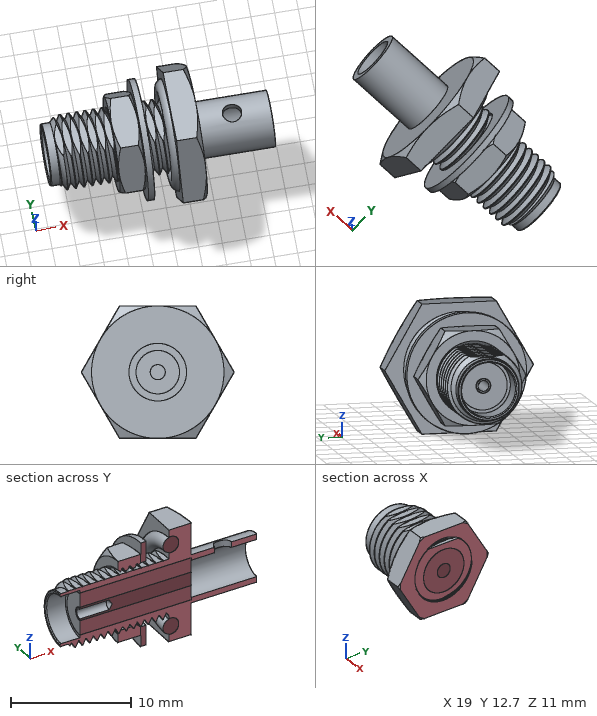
import cadquery as cq
import math

LENGTH = 19.0
HEX_CHAMFER_ANGLE = 30.0

NOSE_LENGTH = 0.78
NOSE_RADIUS = 2.62
NOSE_CHAMFER = 0.08
THREAD_RADIUS = 3.14
SHAFT_FLAT_HEIGHT = 2.66
FLANGE_FRONT = 10.5
FLANGE_BACK = 12.7
FLANGE_ACROSS_FLATS = 11.0
BARREL_RADIUS = 2.4
BARREL_BORE_RADIUS = 1.8
CROSS_HOLE_X = 15.75
CROSS_HOLE_RADIUS = 0.8

THREAD_PITCH = 4.94 / 7
THREAD_CREST_WIDTH = 0.085
THREAD_FLANK_ANGLE = 30.0
THREAD_CREST_X = 1.85
STOCK_ALLOWANCE = 3.8
THREAD_OVERCUT = 0.04

SOCKET_RADIUS = 2.3
SOCKET_CHAMFER = 0.1
SOCKET_DEPTH = 1.9

DIELECTRIC_RADIUS = 2.03
CONTACT_RADIUS = 0.63
CONTACT_CHAMFER = 0.04
CONTACT_BORE_RADIUS = 0.45
CONTACT_BORE_DEPTH = 2.85
DRILL_TIP_ANGLE = 118.0

NUT_FRONT = 5.59
NUT_BACK = 7.79
NUT_ACROSS_FLATS = 8.0
NUT_BORE_RADIUS = 2.83
WASHER_BACK = 8.32
WASHER_RADIUS = 5.11

SEAL_CENTER_RADIUS = 4.0
SEAL_SECTION_RADIUS = 0.76
SEAL_HEIGHT = 0.57


def cylinder(radius, start, end):
    """Solid cylinder about the X axis."""
    return cq.Workplane("YZ").workplane(offset=start).circle(radius).extrude(end - start)


def turned(points):
    """Solid of revolution about X from (x, radius) points."""
    return cq.Workplane("XY").polyline(points).close().revolve(360, (0, 0), (1, 0))


def hexagon(across_flats, start, end, chamfer_front):
    """Hexagonal block with corners on +Y and -Y, turned down at the back and optionally at the front."""
    flat_radius = across_flats / 2
    corner_radius = flat_radius / math.cos(math.pi / 6)
    chamfer = (corner_radius - flat_radius) * math.tan(math.radians(HEX_CHAMFER_ANGLE))
    points = [(start, 0), (end, 0), (end, flat_radius), (end - chamfer, corner_radius)]
    if chamfer_front:
        points += [(start + chamfer, corner_radius), (start, flat_radius)]
    else:
        points += [(start, corner_radius)]
    block = cq.Workplane("YZ").workplane(offset=start).polygon(6, 2 * corner_radius).extrude(end - start)
    return block.intersect(turned(points))


def thread_groove(start, end):
    """Helical V-shaped cutter, right-handed about X, that covers start to end."""
    slope = math.tan(math.radians(THREAD_FLANK_ANGLE))
    half_mouth = (THREAD_PITCH - THREAD_CREST_WIDTH) / 2
    root_radius = THREAD_RADIUS - half_mouth / slope
    outer_radius = THREAD_RADIUS + THREAD_OVERCUT
    half_outer = half_mouth + THREAD_OVERCUT * slope
    first = THREAD_CREST_X + THREAD_PITCH / 2
    first -= math.ceil((first - start) / THREAD_PITCH + 1) * THREAD_PITCH
    height = math.ceil((end - first) / THREAD_PITCH + 1) * THREAD_PITCH
    path = cq.Wire.makeHelix(THREAD_PITCH, height, root_radius)
    section = [(root_radius, 0), (outer_radius, half_outer), (outer_radius, -half_outer)]
    groove = cq.Workplane("XZ").polyline(section).close().sweep(cq.Workplane(path), isFrenet=True)
    groove = groove.rotate((0, 0, 0), (0, 1, 0), 90)
    groove = groove.rotate((0, 0, 0), (1, 0, 0), 180)
    return groove.translate((first, 0, 0))


def threaded_stock():
    """Threaded bar that is plain at both ends and longer than the threaded shaft."""
    stock = cylinder(THREAD_RADIUS, NOSE_LENGTH - STOCK_ALLOWANCE, FLANGE_FRONT + STOCK_ALLOWANCE)
    return stock.cut(thread_groove(NOSE_LENGTH, FLANGE_FRONT))


def make_shaft(stock):
    """Stock cut to length, its first turn turned down at 45 degrees and its top milled flat."""
    chamfer = THREAD_RADIUS - NOSE_RADIUS
    outline = turned([
        (NOSE_LENGTH, 0),
        (NOSE_LENGTH, NOSE_RADIUS),
        (NOSE_LENGTH + chamfer + STOCK_ALLOWANCE, THREAD_RADIUS + STOCK_ALLOWANCE),
        (FLANGE_FRONT, THREAD_RADIUS + STOCK_ALLOWANCE),
        (FLANGE_FRONT, 0),
    ])
    flat_cutter = cq.Workplane("XY").workplane(offset=SHAFT_FLAT_HEIGHT).rect(
        2 * LENGTH, 2 * THREAD_RADIUS
    ).extrude(THREAD_RADIUS)
    return stock.intersect(outline).cut(flat_cutter)


def make_seal():
    """Ring of round section that stands out of the flange by the seal height."""
    center_x = FLANGE_FRONT - SEAL_HEIGHT + SEAL_SECTION_RADIUS
    section = cq.Workplane("XY").center(center_x, SEAL_CENTER_RADIUS).circle(SEAL_SECTION_RADIUS)
    return section.revolve(360, (-center_x, -SEAL_CENTER_RADIUS), (0.19 - center_x, -SEAL_CENTER_RADIUS))


def make_shell(stock, seal):
    """Nose, threaded shaft, flange and barrel in one piece, hollow, with a seat for the seal."""
    nose = cylinder(NOSE_RADIUS, 0, NOSE_LENGTH).faces("<X").chamfer(NOSE_CHAMFER)
    flange = hexagon(FLANGE_ACROSS_FLATS, FLANGE_FRONT, FLANGE_BACK, chamfer_front=False)
    barrel = cylinder(BARREL_RADIUS, FLANGE_BACK, LENGTH)
    shell = make_shaft(stock).union(nose).union(flange).union(barrel)
    shell = shell.cut(turned([
        (0, 0),
        (0, SOCKET_RADIUS + SOCKET_CHAMFER),
        (SOCKET_CHAMFER, SOCKET_RADIUS),
        (SOCKET_DEPTH, SOCKET_RADIUS),
        (SOCKET_DEPTH, DIELECTRIC_RADIUS),
        (FLANGE_BACK, DIELECTRIC_RADIUS),
        (FLANGE_BACK, BARREL_BORE_RADIUS),
        (LENGTH, BARREL_BORE_RADIUS),
        (LENGTH, 0),
    ]))
    cross_hole = cq.Workplane("XY").center(CROSS_HOLE_X, 0).circle(CROSS_HOLE_RADIUS).extrude(BARREL_RADIUS)
    return shell.cut(cross_hole).cut(seal)


def make_dielectric():
    """Insulating sleeve between the contact and the shell."""
    return cylinder(DIELECTRIC_RADIUS, SOCKET_DEPTH, FLANGE_BACK).cut(
        cylinder(CONTACT_RADIUS, SOCKET_DEPTH, FLANGE_BACK)
    )


def make_contact():
    """Pin flush with the socket floor, with a drilled blind bore and a chamfered front edge."""
    bore_end = SOCKET_DEPTH + CONTACT_BORE_DEPTH
    tip_length = CONTACT_BORE_RADIUS / math.tan(math.radians(DRILL_TIP_ANGLE / 2))
    return turned([
        (SOCKET_DEPTH, CONTACT_BORE_RADIUS),
        (SOCKET_DEPTH, CONTACT_RADIUS - CONTACT_CHAMFER),
        (SOCKET_DEPTH + CONTACT_CHAMFER, CONTACT_RADIUS),
        (FLANGE_BACK, CONTACT_RADIUS),
        (FLANGE_BACK, 0),
        (bore_end + tip_length, 0),
        (bore_end, CONTACT_BORE_RADIUS),
    ])


def make_nut(stock):
    """Hexagon nut whose internal thread matches the shaft, with countersunk ends."""
    countersink = THREAD_RADIUS - NUT_BORE_RADIUS
    bore = turned([
        (NUT_FRONT, 0),
        (NUT_FRONT, THREAD_RADIUS),
        (NUT_FRONT + countersink, NUT_BORE_RADIUS),
        (NUT_BACK - countersink, NUT_BORE_RADIUS),
        (NUT_BACK, THREAD_RADIUS),
        (NUT_BACK, 0),
    ])
    return hexagon(NUT_ACROSS_FLATS, NUT_FRONT, NUT_BACK, chamfer_front=True).cut(stock).cut(bore)


def make_washer():
    """Flat ring behind the nut."""
    return cylinder(WASHER_RADIUS, NUT_BACK, WASHER_BACK).cut(cylinder(THREAD_RADIUS, NUT_BACK, WASHER_BACK))


stock = threaded_stock()
seal = make_seal()
shell = make_shell(stock, seal)
dielectric = make_dielectric()
contact = make_contact()
nut = make_nut(stock)
washer = make_washer()

bodies = [shell, dielectric, contact, nut, washer, seal]
result = cq.Compound.makeCompound([body.solids().val() for body in bodies])